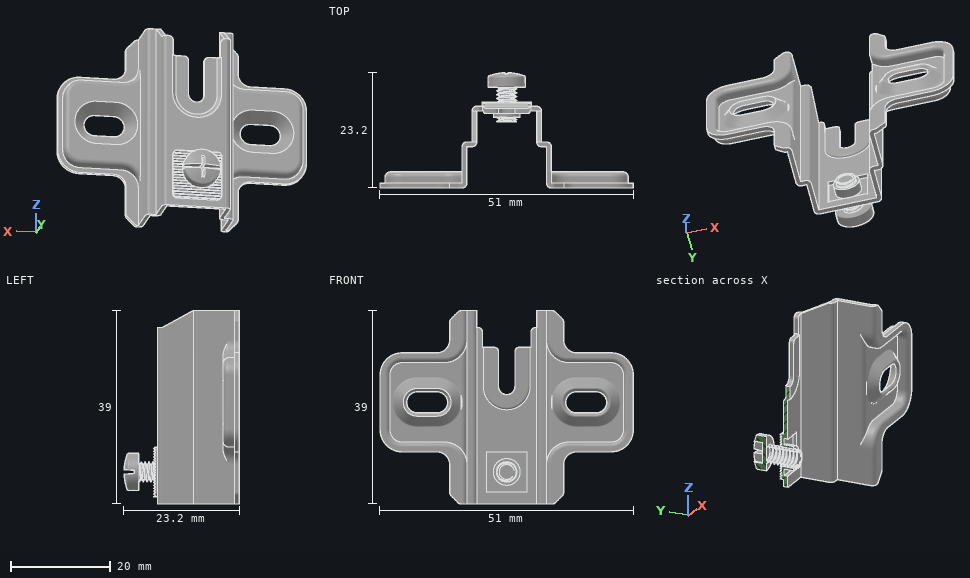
import cadquery as cq
import math

sheet = 1.0
bend_radius = sheet
z_bottom = -20.5
z_top = 18.5
height = z_top - z_bottom

lower_half_width = 9.0
upper_half_width = 7.0
ledge_y = 9.3
web_y = 16.5
web_z_top = 15.1

flange_half_width = 11.5
flange_chamfer = 2.0
flange_corner_radius = 1.0
lug_half_width = 25.5
lug_half_height = 10.0
lug_corner_radius = 4.5
lug_root_radius = 2.5

cup_margin = 1.0
cup_y = 3.3
cup_edge_radius = 1.15
cup_flare_radius = 3.5

slot_x = 16.0
slot_straight = 4.0
cone_tip_radius = 2.8
cone_tip_y = 0.25
cone_base_fillet = 0.45
slot_rim_fillet = 0.42

notch_half_width = 4.85
tongue_z_top = 11.1
tongue_half_width = 4.7
tongue_offset = 0.5
tongue_center_z = 3.2
tongue_back_half_width = 5.0
tongue_floor_half_width = 4.2
hook_half_width = 1.625
tongue_edge_radius = 0.45
tongue_corner_radius = 0.9
web_corner_radius = 1.0

pad_z = -14.0
pad_size = 10.0
pad_corner_radius = 1.0
pad_height = 0.8
pocket_width = 8.2
pocket_height = 8.0
tooth_count = 17.5
tooth_depth = 0.38
collar_diameter = 5.4
collar_front_y = 14.25

thread_diameter = 4.1
core_diameter = 3.2
thread_pitch = 0.77
thread_base_share = 0.8
thread_overlap = 0.1
crest_angle = -90
thread_crest_y = 19.75
tip_y = 13.25
tip_land_diameter = 3.85
tip_land_length = 0.15
head_y = 20.25
head_height = 3.012
head_diameter = 7.57
head_cylinder_height = 2.28
head_edge_radius = 0.46
head_underside_fillet = 0.2
driver_slot_width = 0.85
driver_slot_floor_width = 0.6
driver_slot_depth = 2.05
cross_recess_length = 4.4

cup_floor_y = cup_y - sheet
channel_inside = lower_half_width - sheet
web_front_y = web_y - sheet


def block(x0, x1, y0, y1, z0, z1):
    """Box between the given limits."""
    return cq.Workplane("XY").box(x1 - x0, y1 - y0, z1 - z0, centered=False).translate((x0, y0, z0))


def front_sketch(y):
    """Workplane at depth y with local axes X and Z; a negative extrusion goes towards +Y."""
    return cq.Workplane("XZ", origin=(0, y, 0))


def vertical_edges_at(body, points):
    """Edges running along Z through the given (x, y) points."""
    size = 0.05
    picked = body.newObject([])
    for x, y in points:
        window = cq.selectors.BoxSelector(
            (x - size, y - size, z_bottom), (x + size, y + size, z_top))
        picked = picked.add(body.edges("|Z").edges(window))
    return picked


def make_channel():
    """Stepped channel with a sharp foot; its foot bend is rounded with the cup rims."""
    right_side = [
        (upper_half_width - sheet, web_front_y),
        (upper_half_width - sheet, ledge_y - sheet),
        (channel_inside, ledge_y - sheet),
        (channel_inside, 0),
        (lower_half_width, 0),
        (lower_half_width, ledge_y),
        (upper_half_width, ledge_y),
        (upper_half_width, web_y),
    ]
    left_side = [(-x, y) for x, y in reversed(right_side)]
    channel = (
        cq.Workplane("XY", origin=(0, 0, z_bottom))
        .polyline(right_side + left_side)
        .close()
        .extrude(height)
    )
    bends = [
        (side * x, y)
        for side in (-1, 1)
        for x, y in (
            (lower_half_width, ledge_y),
            (upper_half_width - sheet, ledge_y - sheet),
            (upper_half_width, web_y),
        )
    ]
    channel = vertical_edges_at(channel, bends).fillet(bend_radius)

    top_waste = (
        cq.Workplane("YZ", origin=(-upper_half_width, 0, 0))
        .polyline([
            (ledge_y, z_top),
            (web_front_y, web_z_top),
            (web_y, web_z_top),
            (web_y, z_top),
        ])
        .close()
        .extrude(2 * upper_half_width)
    )
    return channel.cut(top_waste)


def make_flange():
    """Flat +X flange with its lug."""
    inner = lower_half_width
    middle = flange_half_width
    chamfer_x = middle - flange_chamfer
    flange = (
        front_sketch(0)
        .polyline([
            (inner, z_bottom),
            (chamfer_x, z_bottom),
            (middle, z_bottom + flange_chamfer),
            (middle, -lug_half_height),
            (lug_half_width, -lug_half_height),
            (lug_half_width, lug_half_height),
            (middle, lug_half_height),
            (middle, z_top - flange_chamfer),
            (chamfer_x, z_top),
            (inner, z_top),
        ])
        .close()
        .extrude(-sheet)
    )

    def corners(x, z_low, z_high):
        size = 0.1
        windows = [
            cq.selectors.BoxSelector((x - size, -size, z - size), (x + size, sheet + size, z + size))
            for z in (z_low, z_high)
        ]
        return flange.edges("|Y").edges(windows[0] + windows[1])

    flange = corners(lug_half_width, -lug_half_height, lug_half_height).fillet(lug_corner_radius)
    flange = corners(middle, -lug_half_height, lug_half_height).fillet(lug_root_radius)
    flange = corners(middle, z_bottom + flange_chamfer, z_top - flange_chamfer).fillet(flange_corner_radius)
    return corners(chamfer_x, z_bottom, z_top).fillet(flange_corner_radius)


def cup_prism(inset, x_start, y0, y1):
    """Cup outline of the +X lug, inset from its outer surface, as a prism between y0 and y1."""
    right = lug_half_width - cup_margin - inset
    top = lug_half_height - cup_margin - inset
    wall = lower_half_width - inset
    corner = lug_corner_radius - cup_margin - inset
    flare = cup_flare_radius + inset
    diagonal = math.sqrt(0.5)
    flare_x = wall + flare
    flare_z = top + flare
    corner_x = right - corner
    corner_z = top - corner
    return (
        front_sketch(y0)
        .moveTo(x_start, -flare_z)
        .lineTo(wall, -flare_z)
        .threePointArc((flare_x - flare * diagonal, -flare_z + flare * diagonal), (flare_x, -top))
        .lineTo(corner_x, -top)
        .threePointArc((corner_x + corner * diagonal, -corner_z - corner * diagonal), (right, -corner_z))
        .lineTo(right, corner_z)
        .threePointArc((corner_x + corner * diagonal, corner_z + corner * diagonal), (corner_x, top))
        .lineTo(flare_x, top)
        .threePointArc((flare_x - flare * diagonal, flare_z - flare * diagonal), (wall, flare_z))
        .lineTo(x_start, flare_z)
        .close()
        .extrude(y0 - y1)
    )


def make_cup_shell():
    """Outer block of the +X cup, rear edge rounded, trimmed to end inside the channel wall."""
    shell = cup_prism(0, channel_inside - 2 * cup_edge_radius, 0, cup_y)
    rear_edges = shell.faces(">Y").edges().edges(
        cq.selectors.BoxSelector((lower_half_width, 0, -z_top), (lug_half_width, 2 * cup_y, z_top)))
    shell = rear_edges.fillet(cup_edge_radius)
    trim = block(lower_half_width - sheet / 2, lug_half_width, 0, cup_y, z_bottom, z_top)
    return shell.intersect(trim)


def make_front_cut():
    """Front hollow of the +X cup, its rim rounded together with the foot bend of the channel."""
    gap = 0.1
    x_start = channel_inside - sheet
    limits = (channel_inside, lug_half_width, 0, cup_floor_y, z_bottom, z_top)
    hollow = cup_prism(sheet, x_start, 0, cup_floor_y)
    surround = block(*limits).cut(hollow)
    foot = cq.selectors.BoxSelector(
        (channel_inside - gap, -gap, z_bottom), (channel_inside + gap, gap, z_top))
    rim = cq.selectors.BoxSelector(
        (channel_inside - gap, -gap, gap - lug_half_height),
        (lug_half_width - cup_margin, gap, lug_half_height - gap))
    surround = surround.edges(foot + rim).fillet(bend_radius)
    return block(*limits).cut(surround)


def make_floor_corner_cut():
    """Waste of the rounded corner where the cup floor turns into the channel wall."""
    x_start = channel_inside - sheet
    round_x = channel_inside + cup_edge_radius
    round_y = cup_floor_y + cup_edge_radius
    corner = block(x_start, round_x, cup_floor_y, round_y, z_bottom, z_top)
    rod = cq.Workplane("XY", origin=(round_x, round_y, z_bottom)).circle(cup_edge_radius).extrude(height)
    return corner.cut(rod).intersect(cup_prism(sheet, x_start, cup_floor_y, round_y))


def around_slot(draw_profile):
    """Carry a closed profile, drawn as radius against Y, once around the +X slot."""
    end = draw_profile(cq.Workplane("ZY")).revolve(180, (0, 0, 0), (0, 1, 0))
    if end.val().Center().x < 0:
        end = end.mirror("YZ")
    half = slot_straight / 2
    side = draw_profile(cq.Workplane("ZY", origin=(half, 0, 0))).extrude(slot_straight)
    ring = side.union(side.mirror("XY"))
    ring = ring.union(end.translate((half, 0, 0)))
    ring = ring.union(end.mirror("YZ").translate((-half, 0, 0)))
    return ring.translate((slot_x, 0, 0))


def make_slot_cone(rim_fillet):
    """Conical dimple of constant thickness, and the opening in the cup floor that it fills."""
    diagonal = math.sqrt(0.5)
    base_radius = cone_tip_radius + cup_floor_y - cone_tip_y
    half_slope = math.pi / 8
    tangent = cone_base_fillet * math.tan(half_slope)
    outer_radius = base_radius + tangent
    end_face = sheet * diagonal
    rear_slope = cup_y - cone_tip_y - end_face
    arc_x = -cone_base_fillet * math.sin(half_slope)
    arc_y = cone_base_fillet * (math.cos(half_slope) - 1)

    def ring_profile(plane):
        outline = (
            plane.moveTo(outer_radius, cup_y)
            .lineTo(outer_radius, cup_floor_y)
            .threePointArc(
                (outer_radius + arc_x, cup_floor_y + arc_y),
                (base_radius - tangent * diagonal, cup_floor_y - tangent * diagonal))
        )
        if rim_fillet > 0:
            reach = rim_fillet * diagonal
            outline = outline.lineTo(cone_tip_radius + reach, cone_tip_y + reach).threePointArc(
                (cone_tip_radius, cone_tip_y + 2 * reach - rim_fillet),
                (cone_tip_radius - reach, cone_tip_y + reach))
        else:
            outline = outline.lineTo(cone_tip_radius, cone_tip_y)
        return (
            outline.lineTo(cone_tip_radius - end_face, cone_tip_y + end_face)
            .lineTo(cone_tip_radius - end_face + rear_slope, cup_y)
            .close()
        )

    opening = (
        front_sketch(cup_floor_y)
        .center(slot_x, 0)
        .slot2D(slot_straight + 2 * outer_radius, 2 * outer_radius)
        .extrude(-sheet)
    )
    return around_slot(ring_profile), opening


def add_mounting_lug(bracket, rim_fillet, mirrored):
    """Add flange, cup and slot to the +X side, or to the -X side when mirrored."""
    cone, opening = make_slot_cone(rim_fillet)
    metal = make_flange().union(make_cup_shell())
    steps = [
        ("add", metal),
        ("cut", make_front_cut()),
        ("cut", opening),
        ("add", cone),
        ("cut", make_floor_corner_cut()),
    ]
    for action, shape in steps:
        if mirrored:
            shape = shape.mirror("YZ")
        bracket = bracket.union(shape) if action == "add" else bracket.cut(shape)
    return bracket


def round_web_corner(bracket, x, z, radius):
    """Round the corner edge that runs along Y through (x, z) in the web."""
    gap = 0.1
    window = cq.selectors.BoxSelector((x - gap, channel_inside, z - gap), (x + gap, web_y, z + gap))
    return bracket.edges("|Y").edges(window).fillet(radius)


def tongue_outline(half_width, y):
    """U shape around the tongue centre, open end carried above the tongue."""
    return (
        front_sketch(y)
        .moveTo(-half_width, web_z_top)
        .lineTo(-half_width, tongue_center_z)
        .threePointArc((0, tongue_center_z - half_width), (half_width, tongue_center_z))
        .lineTo(half_width, web_z_top)
        .close()
    )


def add_hook_tongue(bracket):
    """Set the U shaped tongue forward and open the notch and hook slot through the web."""
    tongue_front = web_front_y - tongue_offset
    tongue = tongue_outline(tongue_half_width, tongue_front).extrude(-sheet)
    tongue = tongue.faces("<Y").edges().fillet(tongue_edge_radius)
    rear_taper = math.degrees(math.atan2(tongue_back_half_width - tongue_floor_half_width, tongue_offset))
    rear_pocket = tongue_outline(tongue_back_half_width, web_y).extrude(tongue_offset, taper=rear_taper)
    rear_pocket = rear_pocket.cut(
        block(-lower_half_width, lower_half_width, tongue_front, web_y, tongue_z_top, z_top))
    notch = block(-notch_half_width, notch_half_width, tongue_front, web_y, tongue_z_top, z_top)
    hook = (
        block(-hook_half_width, hook_half_width, tongue_front, web_y, tongue_center_z, z_top)
        .union(front_sketch(tongue_front).center(0, tongue_center_z)
               .circle(hook_half_width).extrude(tongue_front - web_y))
    )
    bracket = bracket.union(tongue).cut(rear_pocket).cut(notch).cut(hook)
    for side in (-1, 1):
        bracket = round_web_corner(bracket, side * notch_half_width, web_z_top, web_corner_radius)
        bracket = round_web_corner(bracket, side * hook_half_width, tongue_z_top, tongue_corner_radius)
    return bracket


def make_serrated_pad():
    """Raised pad with V grooves running along X across its rear face."""
    pad = (
        front_sketch(web_y)
        .center(0, pad_z)
        .rect(pad_size, pad_size)
        .extrude(-pad_height)
        .edges("|Y")
        .fillet(pad_corner_radius)
    )
    pitch = pad_size / tooth_count
    top = web_y + pad_height
    valley = top - tooth_depth
    first_crest = pad_z - pad_size / 2
    grooves = cq.Workplane("YZ", origin=(-pad_size / 2, 0, 0))
    for i in range(math.ceil(tooth_count)):
        low = first_crest + i * pitch
        grooves = grooves.polyline([(top, low), (valley, low + pitch / 2), (top, low + pitch)]).close()
    return pad.cut(grooves.extrude(pad_size))


def add_screw_seat(bracket):
    """Pad pushed out of the web from a square pocket, with the collar the screw runs through."""
    pocket_floor = web_front_y + pad_height
    pocket = block(-pocket_width / 2, pocket_width / 2, web_front_y, pocket_floor,
                   pad_z - pocket_height / 2, pad_z + pocket_height / 2)
    collar = (
        front_sketch(collar_front_y)
        .center(0, pad_z)
        .circle(collar_diameter / 2)
        .extrude(collar_front_y - web_y)
    )
    hole = (
        front_sketch(collar_front_y)
        .center(0, pad_z)
        .circle(thread_diameter / 2)
        .extrude(-(head_y - collar_front_y))
    )
    return bracket.union(make_serrated_pad()).cut(pocket).union(collar).cut(hole)


def make_bracket():
    """Complete sheet metal bracket."""
    bracket = make_channel()
    bracket = add_mounting_lug(bracket, slot_rim_fillet, mirrored=False)
    bracket = add_mounting_lug(bracket, 0, mirrored=True)
    bracket = add_hook_tongue(bracket)
    return add_screw_seat(bracket)


def make_thread():
    """Right-hand V ridge around the Z axis, its first crest on +X at Z = 0."""
    root = core_diameter / 2 - thread_overlap
    crest = thread_diameter / 2
    half_base = thread_pitch * thread_base_share / 2
    turns = math.ceil((head_y - tip_y) / thread_pitch) + 1
    helix = cq.Wire.makeHelix(thread_pitch, turns * thread_pitch, root)
    return (
        cq.Workplane("XZ")
        .polyline([(root, -half_base), (crest, 0), (root, half_base)])
        .close()
        .sweep(cq.Workplane(obj=helix), isFrenet=True)
    ), turns * thread_pitch


def make_head():
    """Raised cheese head around the Z axis, underside at Z = 0."""
    radius = head_diameter / 2
    dome_rise = head_height - head_cylinder_height
    dome_radius = (radius ** 2 + dome_rise ** 2) / (2 * dome_rise)
    middle = radius / 2
    middle_height = head_height - dome_radius + math.sqrt(dome_radius ** 2 - middle ** 2)
    head = (
        cq.Workplane("XZ")
        .lineTo(radius, 0)
        .lineTo(radius, head_cylinder_height)
        .threePointArc((middle, middle_height), (0, head_height))
        .close()
        .revolve(360, (0, 0, 0), (0, 1, 0))
    )
    crown_zone = cq.selectors.BoxSelector((-radius, -radius, dome_rise), (radius, radius, head_height))
    head = head.edges(crown_zone).edges("%CIRCLE").fillet(head_edge_radius)
    head = head.faces("<Z").edges().fillet(head_underside_fillet)
    slot_floor = head_height - driver_slot_depth
    half_floor = driver_slot_floor_width / 2
    half_mouth = driver_slot_width / 2
    slot = (
        cq.Workplane("YZ", origin=(-radius, 0, 0))
        .polyline([
            (-half_floor, slot_floor),
            (half_floor, slot_floor),
            (half_mouth, head_height),
            (-half_mouth, head_height),
        ])
        .close()
        .extrude(head_diameter)
    )
    half_cross = cross_recess_length / 2
    cross = block(-half_floor, half_floor, -half_cross, half_cross, slot_floor, head_height)
    return head.cut(slot).cut(cross)


def make_screw():
    """Screw along +Y with its tip inside the channel and its head behind the web."""
    core = cq.Workplane("XY").circle(core_diameter / 2).extrude(tip_y - head_y)
    tip_plane = cq.Workplane("XY", origin=(0, 0, tip_y - head_y))
    tip = tip_plane.circle(tip_land_diameter / 2).extrude(tip_land_length)
    thread, thread_length = make_thread()
    thread_top = head_y + thread_pitch / 2
    thread_start = thread_top - thread_length
    steps_up = (thread_start - thread_crest_y) / thread_pitch
    thread = thread.rotate((0, 0, 0), (0, 0, 1), 360 * steps_up + crest_angle)
    thread = thread.translate((0, 0, thread_start - head_y))
    beyond_tip = tip_plane.circle(head_diameter).extrude(-head_y)
    screw = core.union(thread.cut(beyond_tip)).union(tip).union(make_head())
    return screw.rotate((0, 0, 0), (1, 0, 0), -90).translate((0, head_y, pad_z))


bracket = make_bracket()
screw = make_screw()

result = cq.Compound.makeCompound([bracket.val(), screw.val()])